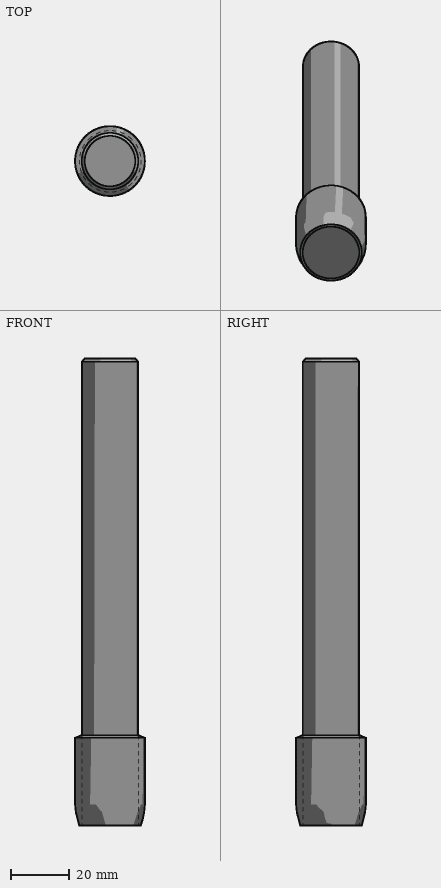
import cadquery as cq

total_length = 160.0
rod_diameter = 19.4
rod_chamfer = 1.04
bush_diameter = 24.0
bush_length = 31.0
shoulder_height = 1.0
nose_height = 7.2
nose_inset = 1.5
nose_bulge = 0.29

rod_radius = rod_diameter / 2
bush_radius = bush_diameter / 2


def make_rod():
    """Plain rod running the full length, chamfered at the upper end."""
    rod = cq.Workplane("XY").circle(rod_radius).extrude(total_length)
    return rod.faces(">Z").chamfer(rod_chamfer)


def make_bush():
    """Bush around the rod's lower end, revolved from its half section in XZ."""
    nose_middle = (bush_radius - nose_inset / 2 + nose_bulge, nose_height / 2)
    return (
        cq.Workplane("XZ")
        .moveTo(rod_radius, 0)
        .lineTo(bush_radius - nose_inset, 0)
        .threePointArc(nose_middle, (bush_radius, nose_height))
        .lineTo(bush_radius, bush_length - shoulder_height)
        .lineTo(rod_radius, bush_length)
        .close()
        .revolve(360, (0, 0, 0), (0, 1, 0))
    )


rod = make_rod()
bush = make_bush()

result = cq.Compound.makeCompound([rod.val(), bush.val()])